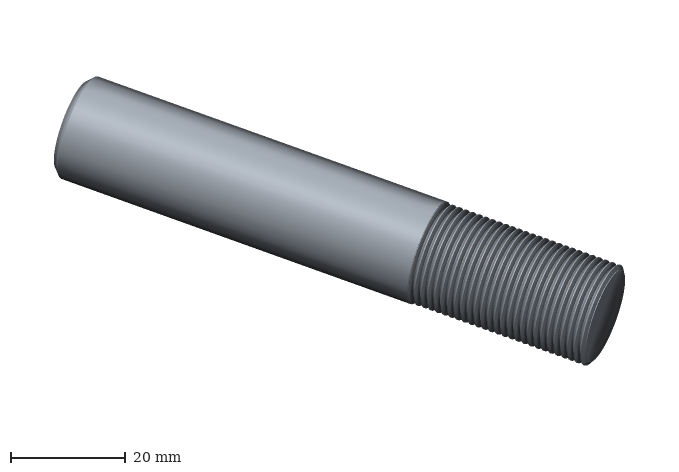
import cadquery as cq
import math

length = 101.6
body_radius = 19.0 / 2
end_chamfer = 1.3

thread_start = 68.0
full_ridges = 26
pitch = (length - thread_start) / (full_ridges + 0.5)
crest_radius = 18.7 / 2
root_radius = 17.1 / 2
crest_flat = pitch / 8
root_flat = pitch / 6

countersink_radius = 5.1 / 2
pilot_radius = 2.6 / 2
pilot_length = 4.1
countersink_half_angle = math.radians(50)
tip_half_angle = math.radians(59)
countersink_depth = (countersink_radius - pilot_radius) / math.tan(countersink_half_angle)
pilot_end = countersink_depth + pilot_length
hole_depth = pilot_end + pilot_radius / math.tan(tip_half_angle)


def revolve_about_x(outline):
    """Revolve a closed (x, radius) outline a full turn around the X axis."""
    return cq.Workplane("XY").polyline(outline).close().revolve(360, (0, 0, 0), (1, 0, 0))


def thread_outline():
    """Return the ridge points from a half ridge at the shoulder to a root at the end face."""
    points = [
        (thread_start, crest_radius),
        (thread_start + crest_flat / 2, crest_radius),
    ]
    for ridge in range(1, full_ridges + 1):
        crest = thread_start + ridge * pitch
        root = crest - pitch / 2
        points += [
            (root - root_flat / 2, root_radius),
            (root + root_flat / 2, root_radius),
            (crest - crest_flat / 2, crest_radius),
            (crest + crest_flat / 2, crest_radius),
        ]
    points += [
        (length - root_flat / 2, root_radius),
        (length, root_radius),
    ]
    return points


shaft = revolve_about_x(
    [
        (0, 0),
        (0, body_radius - end_chamfer),
        (end_chamfer, body_radius),
        (thread_start, body_radius),
        *thread_outline(),
        (length, 0),
    ]
)

center_hole = revolve_about_x(
    [
        (0, 0),
        (0, countersink_radius),
        (countersink_depth, pilot_radius),
        (pilot_end, pilot_radius),
        (hole_depth, 0),
    ]
)

result = shaft.cut(center_hole)